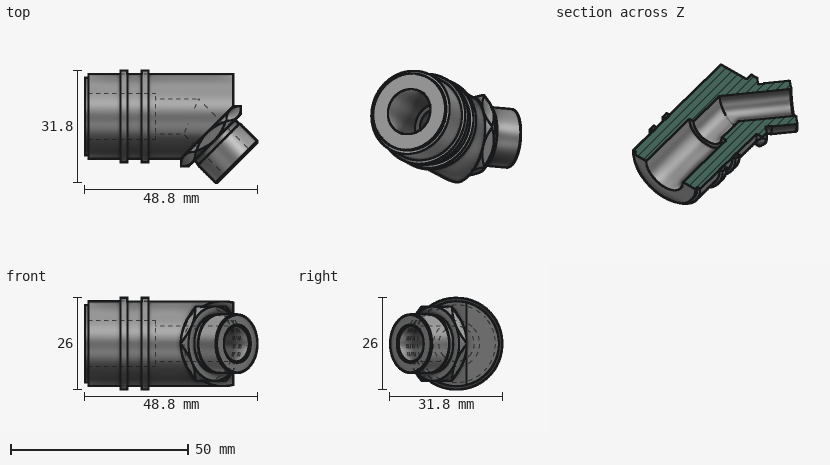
import cadquery as cq
import math

barrel_diameter = 24.0
barrel_length = 41.9
spigot_diameter = 22.0
spigot_length = 0.98
socket_diameter = 13.0
socket_depth = 20.0
bore_diameter = 10.0

ring_diameter = 26.0
ring_width = 2.0
ring_starts = [10.0, 16.0]

branch_angle = 45
elbow_x = 30.0
seat_distance = 6.4
hex_across_flats = 20.95
hex_sides = 6
hex_thickness = 3.0
neck_diameter = 16.3
neck_length = 1.65
thread_diameter = 16.7
branch_length = 12.05
end_chamfer_length = 0.4
end_chamfer_depth = 0.25
mouth_chamfer = 0.4

branch_direction = cq.Vector(
    math.cos(math.radians(branch_angle)), -math.sin(math.radians(branch_angle)), 0
)
elbow = cq.Vector(elbow_x, 0, 0)
end_center = elbow + branch_direction * (seat_distance + branch_length)


def branch_plane(distance):
    """Plane across the branch axis, with its local x along Z."""
    return cq.Plane(
        origin=elbow + branch_direction * distance, xDir=(0, 0, 1), normal=branch_direction
    )


def revolve_about_branch(profile):
    """Revolve (radius, distance from seat) points about the branch axis."""
    seat = branch_plane(seat_distance)
    axial_plane = cq.Plane(origin=seat.origin, xDir=seat.xDir, normal=seat.xDir.cross(branch_direction))
    return cq.Workplane(axial_plane).polyline(profile).close().revolve(360, (0, 0), (0, 1))


def make_barrel():
    spigot = cq.Workplane("YZ").circle(spigot_diameter / 2).extrude(spigot_length)
    body = (
        cq.Workplane("YZ")
        .workplane(offset=spigot_length)
        .circle(barrel_diameter / 2)
        .extrude(barrel_length - spigot_length)
    )
    beyond_seat = (
        cq.Workplane(branch_plane(seat_distance))
        .rect(2 * barrel_length, 2 * barrel_length)
        .extrude(barrel_length)
    )
    return spigot.union(body).cut(beyond_seat)


def make_hexagon():
    """Hexagon with two flats facing +Z and -Z and 45 degree corner chamfers."""
    half_side_angle = 180 / hex_sides
    corner_diameter = hex_across_flats / math.cos(math.radians(half_side_angle))
    prism = (
        cq.Workplane(branch_plane(seat_distance))
        .transformed(rotate=(0, 0, half_side_angle))
        .polygon(hex_sides, corner_diameter)
        .extrude(hex_thickness)
    )
    face_radius = hex_across_flats / 2
    half_thickness = hex_thickness / 2
    double_cone = revolve_about_branch([
        (0, 0),
        (face_radius, 0),
        (face_radius + half_thickness, half_thickness),
        (face_radius, hex_thickness),
        (0, hex_thickness),
    ])
    return prism.intersect(double_cone)


def make_threaded_end():
    neck_radius = neck_diameter / 2
    thread_radius = thread_diameter / 2
    neck_end = hex_thickness + neck_length
    return revolve_about_branch([
        (0, hex_thickness),
        (neck_radius, hex_thickness),
        (neck_radius, neck_end),
        (thread_radius, neck_end),
        (thread_radius, branch_length - end_chamfer_length),
        (thread_radius - end_chamfer_depth, branch_length),
        (0, branch_length),
    ])


def make_passage():
    """Mitred bore through barrel and branch, with the socket and the chamfered mouth."""
    path = cq.Workplane("XY").polyline([(0, 0), (elbow_x, 0), (end_center.x, end_center.y)])
    bore = cq.Workplane("YZ").circle(bore_diameter / 2).sweep(path, transition="right")
    socket = cq.Workplane("YZ").circle(socket_diameter / 2).extrude(socket_depth)
    bore_radius = bore_diameter / 2
    mouth = revolve_about_branch([
        (0, branch_length - mouth_chamfer),
        (bore_radius, branch_length - mouth_chamfer),
        (bore_radius + mouth_chamfer, branch_length),
        (0, branch_length),
    ])
    return bore.union(socket).union(mouth)


def make_housing():
    outside = make_barrel().union(make_hexagon()).union(make_threaded_end())
    return outside.cut(make_passage()).solids()


def make_ring(start):
    return (
        cq.Workplane("YZ")
        .workplane(offset=start)
        .circle(ring_diameter / 2)
        .circle(barrel_diameter / 2)
        .extrude(ring_width)
    )


housing = make_housing()
rings = [make_ring(start) for start in ring_starts]

result = cq.Compound.makeCompound([housing.val(), *[ring.val() for ring in rings]])